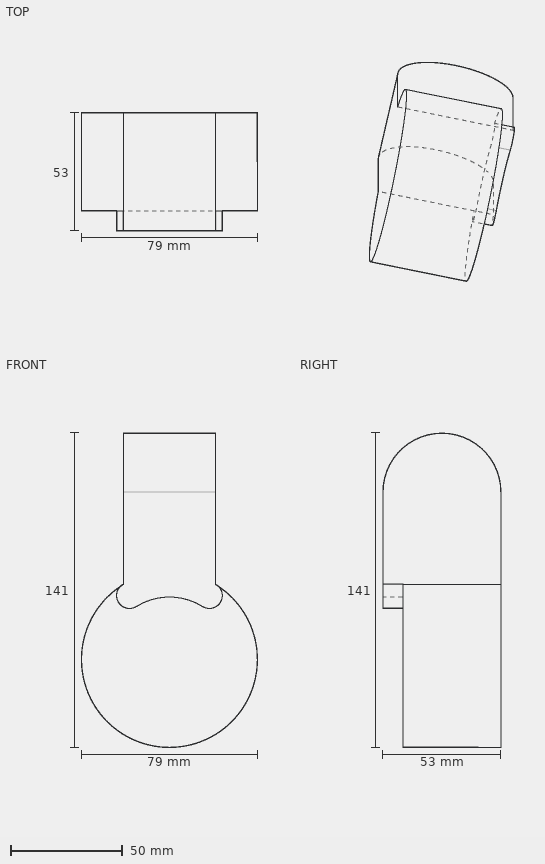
import cadquery as cq
import math

disc_radius = 39.5
disc_depth = 44.0
total_depth = 53.0
stem_width = 41.4
total_height = 141.0
lip_inner_radius = 28.0
lip_outer_radius = 39.6
lip_end_angle = math.radians(32.0)

lip_depth = total_depth - disc_depth
stem_top = total_height - disc_radius
crown_radius = total_depth / 2
crown_centre_z = stem_top - crown_radius
lip_end_radius = (lip_outer_radius - lip_inner_radius) / 2
lip_mid_radius = lip_inner_radius + lip_end_radius

front_y = -lip_depth
back_y = disc_depth


def polar_point(radius, angle):
    """XZ point at a radius from the disc axis, at an angle measured from +Z toward +X."""
    return (radius * math.sin(angle), radius * math.cos(angle))


def make_disc():
    return cq.Workplane("XZ").circle(disc_radius).extrude(-disc_depth)


def make_lip():
    """Curved slot-shaped lip, slightly overhanging the disc rim and rounded at both ends."""
    tip_radius = math.hypot(lip_mid_radius, lip_end_radius)
    tip_angle = lip_end_angle + math.atan2(lip_end_radius, lip_mid_radius)
    return (
        cq.Workplane("XZ")
        .moveTo(*polar_point(lip_outer_radius, -lip_end_angle))
        .threePointArc((0, lip_outer_radius), polar_point(lip_outer_radius, lip_end_angle))
        .threePointArc(polar_point(tip_radius, tip_angle), polar_point(lip_inner_radius, lip_end_angle))
        .threePointArc((0, lip_inner_radius), polar_point(lip_inner_radius, -lip_end_angle))
        .threePointArc(polar_point(tip_radius, -tip_angle), polar_point(lip_outer_radius, -lip_end_angle))
        .close()
        .extrude(lip_depth)
    )


def make_stem():
    """Full-depth upright with a half-round crown, rooted inside the disc and lip."""
    root_z = lip_mid_radius * math.cos(lip_end_angle)
    return (
        cq.Workplane("YZ")
        .moveTo(front_y, root_z)
        .lineTo(front_y, crown_centre_z)
        .threePointArc((front_y + crown_radius, stem_top), (back_y, crown_centre_z))
        .lineTo(back_y, root_z)
        .close()
        .extrude(stem_width / 2, both=True)
    )


result = make_disc().union(make_lip()).union(make_stem())